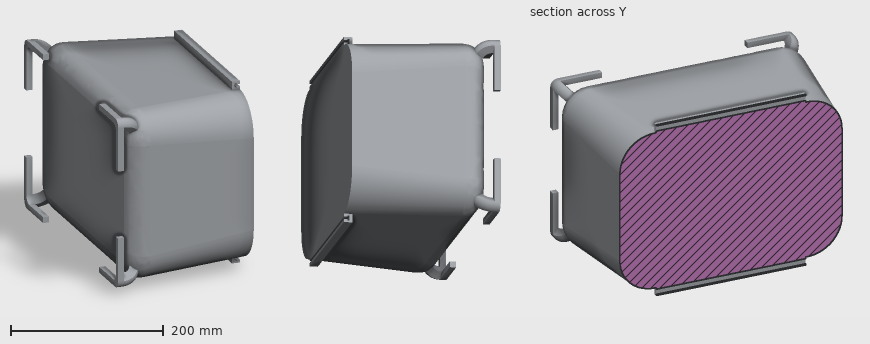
import cadquery as cq
import math


width = 349.0
depth = 195.5
height = 252.0

back_width = 317.5
back_height = 228.5
back_corner = 51.0
front_width = 354.3
front_height = 234.2
front_corner = 38.0
case_depth = 178.0
front_edge_fillet = 25.5

rail_length = 215.0
rail_depth = 11.0
rail_height = (height - back_height) / 2
rail_web = 3.5
rail_wall = 2.5
rail_lip_length = 5.0
rail_slot = 3.5

guard_height = 234.0
guard_leg = 70.5
guard_bar = 8.0
guard_thickness = 8.5
guard_radius = 10.5

arm_axis_distance = 32.0
arm_sweep_angle = 90


def rounded_section(section_width, section_height, corner_radius, distance):
    """Rounded rectangle at the given distance in front of the back plane."""
    return (
        cq.Sketch()
        .rect(section_width, section_height)
        .vertices()
        .fillet(corner_radius)
        .moved(cq.Location(cq.Vector(0, 0, distance)))
    )


def make_case():
    back = rounded_section(back_width, back_height, back_corner, 0)
    front = rounded_section(front_width, front_height, front_corner, case_depth)
    block = cq.Workplane("XZ").placeSketch(back, front).loft(ruled=True)
    return block.faces("<Y").edges().fillet(front_edge_fillet)


def make_rail():
    """Top rail, a channel open to the back through a lipped slot."""
    cavity_height = rail_height - 2 * rail_wall
    cavity_depth = rail_depth - rail_web - rail_lip_length
    middle = (back_height + rail_height) / 2
    cavity_middle = -(rail_lip_length + cavity_depth / 2)

    rail = cq.Workplane("XY").box(rail_length, rail_depth, rail_height)
    rail = rail.translate((0, -rail_depth / 2, middle))
    cavity = cq.Workplane("XY").box(rail_length, cavity_depth, cavity_height)
    slot = cq.Workplane("XY").box(rail_length, rail_lip_length, rail_slot)
    rail = rail.cut(cavity.translate((0, cavity_middle, middle)))
    return rail.cut(slot.translate((0, -rail_lip_length / 2, middle)))


def make_guard():
    """L-shaped bar at the upper left corner."""
    left = -width / 2
    top = guard_height / 2
    return (
        cq.Workplane("XZ", origin=(left, 0, top))
        .workplane(offset=depth - guard_thickness)
        .moveTo(0, -guard_radius)
        .radiusArc((guard_radius, 0), guard_radius)
        .lineTo(guard_leg, 0)
        .lineTo(guard_leg, -guard_bar)
        .lineTo(guard_bar + guard_radius, -guard_bar)
        .radiusArc((guard_bar, -guard_bar - guard_radius), -guard_radius)
        .lineTo(guard_bar, -guard_leg)
        .lineTo(0, -guard_leg)
        .close()
        .extrude(guard_thickness)
    )


def make_arm():
    """Bend of the upper left guard, turned about a diagonal axis into the case."""
    diagonal_plane = cq.Plane(
        origin=(-width / 2, guard_thickness - depth, guard_height / 2),
        xDir=(1, 0, -1),
        normal=(0, -1, 0),
    )
    half_width = guard_radius / math.sqrt(2)
    bar_on_diagonal = guard_bar * math.sqrt(2)
    outer_apex = guard_radius * (math.sqrt(2) - 1)
    inner_side = half_width + bar_on_diagonal
    inner_apex = outer_apex + bar_on_diagonal
    return (
        cq.Workplane(diagonal_plane)
        .moveTo(half_width, -half_width)
        .threePointArc((outer_apex, 0), (half_width, half_width))
        .lineTo(inner_side, half_width)
        .threePointArc((inner_apex, 0), (inner_side, -half_width))
        .close()
        .revolve(arm_sweep_angle, (arm_axis_distance, 0), (arm_axis_distance, -1))
    )


def with_mirror(shape, plane):
    """Shape joined with its reflection in the given plane."""
    return shape.union(shape.mirror(plane))


rails = with_mirror(make_rail(), "XY")
left_guards = with_mirror(make_guard().union(make_arm()), "XY")
guards = with_mirror(left_guards, "YZ")
result = make_case().union(rails).union(guards)